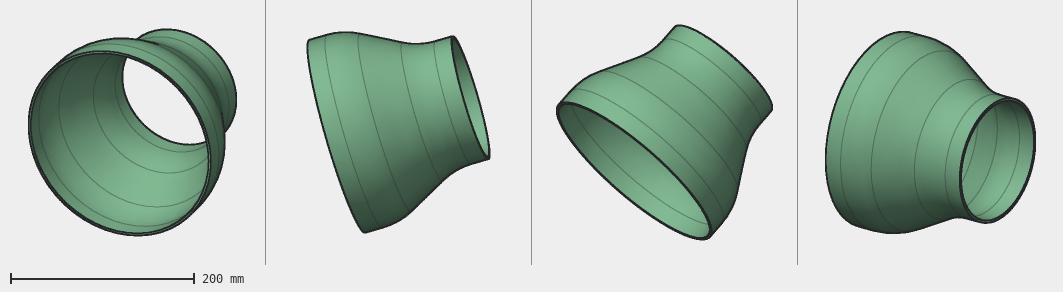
import cadquery as cq
import math

length = 152.0
wide_outer_diameter = 219
wide_inner_diameter = 213.5
narrow_outer_diameter = 139.8
narrow_inner_diameter = 133.9
collar_length = 20.0
bend_radius = 75.0

wide_bend_center = (wide_outer_diameter / 2 - bend_radius, collar_length)
narrow_bend_center = (narrow_outer_diameter / 2 + bend_radius, length - collar_length)


def cone_half_angle(wide_bend_radius, narrow_bend_radius):
    """Angle to the axis of the straight line tangent to both bends."""
    center_rise = narrow_bend_center[1] - wide_bend_center[1]
    center_offset = narrow_bend_center[0] - wide_bend_center[0]
    center_distance = math.hypot(center_rise, center_offset)
    radius_sum = wide_bend_radius + narrow_bend_radius
    return math.atan2(center_rise, center_offset) - math.acos(radius_sum / center_distance)


def point_on_bend(center, signed_radius, angle):
    """Point on a bend; a negative radius lies on the side facing the axis."""
    return (
        center[0] + signed_radius * math.cos(angle),
        center[1] + signed_radius * math.sin(angle),
    )


def solid_of_revolution(wide_diameter, narrow_diameter):
    """Collar, convex bend, cone, concave bend and collar, filled to the axis."""
    wide_radius = wide_diameter / 2
    narrow_radius = narrow_diameter / 2
    wide_bend_radius = wide_radius - wide_bend_center[0]
    narrow_bend_radius = narrow_bend_center[0] - narrow_radius
    angle = cone_half_angle(wide_bend_radius, narrow_bend_radius)

    return (
        cq.Workplane("XY")
        .moveTo(0, 0)
        .lineTo(wide_radius, 0)
        .lineTo(wide_radius, collar_length)
        .threePointArc(
            point_on_bend(wide_bend_center, wide_bend_radius, angle / 2),
            point_on_bend(wide_bend_center, wide_bend_radius, angle),
        )
        .lineTo(*point_on_bend(narrow_bend_center, -narrow_bend_radius, angle))
        .threePointArc(
            point_on_bend(narrow_bend_center, -narrow_bend_radius, angle / 2),
            (narrow_radius, length - collar_length),
        )
        .lineTo(narrow_radius, length)
        .lineTo(0, length)
        .close()
        .revolve(360, (0, 0, 0), (0, 1, 0))
    )


outer_body = solid_of_revolution(wide_outer_diameter, narrow_outer_diameter)
bore = solid_of_revolution(wide_inner_diameter, narrow_inner_diameter)

result = outer_body.cut(bore)